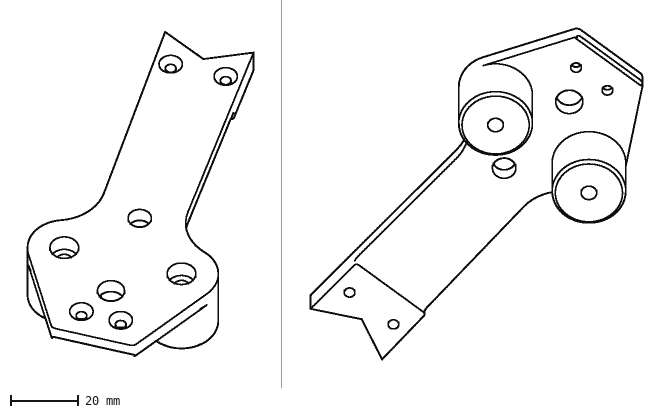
import cadquery as cq
import math

plate_thickness = 5.0
pad_height = 8.0
total_height = 22.2
edge_break = 1.0

overall_width = 58.3
boss_radius = 11.0
boss_x = overall_width / 2 - boss_radius
boss_y = 31.5
boss_bore_diameter = 4.6
boss_counterbore_diameter = 8.5
boss_counterbore_depth = 5.6

arm_base_half_width = 13.0
arm_tip_half_width = 13.8
left_tip_y = 122.0
right_tip_y = 121.7
notch_x = 0.18
notch_y = 115.0
neck_radius = 14.8

tail_side_angle = math.radians(60)
tail_corner_radius = 2.0

pad_start_y = 101.2

centre_holes = [(49.1, 7.0), (19.0, 8.0)]
screw_diameter = 3.2
countersink_diameter = 7.0
countersink_angle = 90
screw_positions = [(-8.5, 110.2), (8.5, 110.2), (-6.1, 8.7), (6.1, 8.7)]

neck_centre_x = arm_base_half_width + neck_radius
neck_offset_x = neck_centre_x - boss_x
neck_reach = neck_radius + boss_radius
neck_y = boss_y + math.sqrt(neck_reach**2 - neck_offset_x**2)
neck_end_angle = math.atan2(neck_y - boss_y, neck_offset_x)
neck_middle_angle = math.pi + neck_end_angle / 2

neck_start = (arm_base_half_width, neck_y)
neck_middle = (
    neck_centre_x + neck_radius * math.cos(neck_middle_angle),
    neck_y + neck_radius * math.sin(neck_middle_angle),
)


def boss_point(angle):
    """Point on the right boss circle."""
    return (boss_x + boss_radius * math.cos(angle), boss_y + boss_radius * math.sin(angle))


neck_end = boss_point(neck_end_angle)
tail_start = boss_point(tail_side_angle - math.pi / 2)
tail_corner = (tail_start[0] - tail_start[1] / math.tan(tail_side_angle), 0)


def mirrored(point):
    return (-point[0], point[1])


def make_outline_prism(height):
    """Outline without the round shoulders, which the bosses add, extruded down from the top face."""
    return (
        cq.Workplane("XY")
        .moveTo(notch_x, notch_y)
        .lineTo(arm_tip_half_width, right_tip_y)
        .lineTo(*neck_start)
        .threePointArc(neck_middle, neck_end)
        .lineTo(boss_x, boss_y)
        .lineTo(*tail_start)
        .lineTo(*tail_corner)
        .lineTo(*mirrored(tail_corner))
        .lineTo(*mirrored(tail_start))
        .lineTo(-boss_x, boss_y)
        .lineTo(*mirrored(neck_end))
        .threePointArc(mirrored(neck_middle), mirrored(neck_start))
        .lineTo(-arm_tip_half_width, left_tip_y)
        .close()
        .extrude(-height)
    )


def make_plate():
    plate = make_outline_prism(plate_thickness)
    plate = plate.faces("<Y").edges("|Z").fillet(tail_corner_radius)
    bevel = (
        cq.Workplane("YZ")
        .polyline([
            (0, -plate_thickness),
            (edge_break, -plate_thickness),
            (0, -plate_thickness + edge_break),
        ])
        .close()
        .extrude(tail_corner[0], both=True)
    )
    return plate.cut(bevel)


def make_pad():
    """Thicker arm tip with rounded lower corners."""
    tip_region = cq.Workplane("XY").box(
        overall_width, left_tip_y - pad_start_y, pad_height, centered=(True, False, False)
    ).translate((0, pad_start_y, -pad_height))
    pad = make_outline_prism(pad_height).intersect(tip_region)
    return pad.faces("<Y").edges("|Z").fillet(edge_break)


def make_bosses():
    left_boss = (
        cq.Workplane("XY")
        .center(-boss_x, boss_y)
        .circle(boss_radius)
        .extrude(-total_height)
        .faces("<Z")
        .edges()
        .chamfer(edge_break)
    )
    return left_boss.union(left_boss.mirror("YZ"))


pad_root = cq.selectors.BoxSelector(
    (-edge_break, pad_start_y - edge_break, -plate_thickness - edge_break / 4),
    (edge_break, pad_start_y + edge_break, -plate_thickness + edge_break),
)
body = make_plate().union(make_pad()).edges(pad_root).fillet(edge_break)
body = body.union(make_bosses())

body = (
    body.faces(">Z")
    .workplane(origin=(0, 0, 0))
    .pushPoints([(-boss_x, boss_y), (boss_x, boss_y)])
    .cboreHole(boss_bore_diameter, boss_counterbore_diameter, boss_counterbore_depth)
)

for hole_y, hole_diameter in centre_holes:
    body = body.faces(">Z").workplane(origin=(0, 0, 0)).center(0, hole_y).hole(hole_diameter)

result = (
    body.faces(">Z")
    .workplane(origin=(0, 0, 0))
    .pushPoints(screw_positions)
    .cskHole(screw_diameter, countersink_diameter, countersink_angle)
)